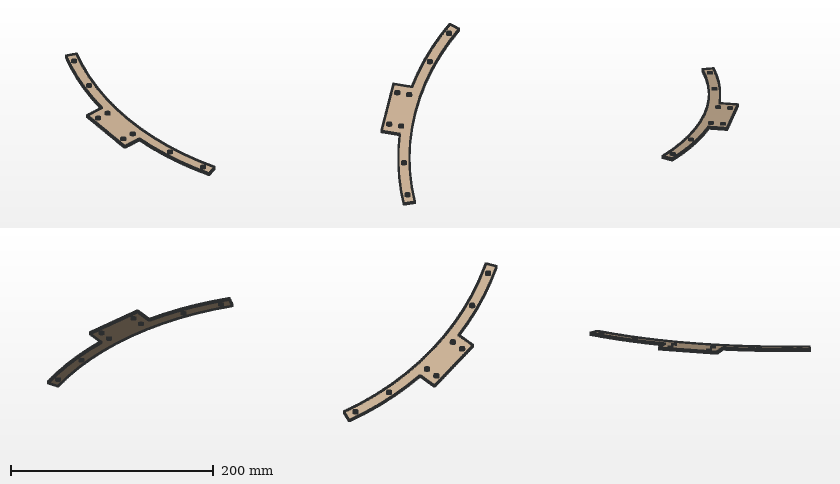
import cadquery as cq
import math

SWEEP = 45.0
LENGTH_X = 210.7
STRIP_WIDTH = 11.2
THICKNESS = 2.0
OUTER_RADIUS = LENGTH_X / math.sin(math.radians(SWEEP))
INNER_RADIUS = OUTER_RADIUS - STRIP_WIDTH
MID_RADIUS = OUTER_RADIUS - STRIP_WIDTH / 2

TAB_WIDTH = 59.8
TAB_END_RADIUS = 315.0

HOLE_DIAMETER = 4.0
END_HOLE_ANGLE = 1.95
INBOARD_HOLE_ANGLE = 9.8
TAB_HOLE_SPACING = 40.0
TAB_ROW_RADII = (297.0, 309.0)


def polar(radius, angle):
    """Point at a radius, with the angle measured from -Y towards +X."""
    turn = math.radians(angle)
    return (radius * math.sin(turn), -radius * math.cos(turn))


def make_strip():
    return (
        cq.Workplane("XY")
        .moveTo(*polar(INNER_RADIUS, 0))
        .threePointArc(polar(INNER_RADIUS, SWEEP / 2), polar(INNER_RADIUS, SWEEP))
        .lineTo(*polar(OUTER_RADIUS, SWEEP))
        .threePointArc(polar(OUTER_RADIUS, SWEEP / 2), polar(OUTER_RADIUS, 0))
        .close()
        .extrude(THICKNESS)
    )


def make_tab():
    tab_length = TAB_END_RADIUS - MID_RADIUS
    tab_center_y = -(TAB_END_RADIUS + MID_RADIUS) / 2
    return (
        cq.Workplane("XY")
        .center(0, tab_center_y)
        .rect(TAB_WIDTH, tab_length)
        .extrude(THICKNESS)
        .rotate((0, 0, 0), (0, 0, 1), SWEEP / 2)
    )


def make_strip_holes():
    angles = []
    for angle in (END_HOLE_ANGLE, INBOARD_HOLE_ANGLE):
        angles += [angle, SWEEP - angle]
    centers = [polar(MID_RADIUS, angle) for angle in angles]
    return cq.Workplane("XY").pushPoints(centers).circle(HOLE_DIAMETER / 2).extrude(THICKNESS)


def make_tab_holes():
    centers = [
        (side * TAB_HOLE_SPACING / 2, -radius)
        for radius in TAB_ROW_RADII
        for side in (-1, 1)
    ]
    return (
        cq.Workplane("XY")
        .pushPoints(centers)
        .circle(HOLE_DIAMETER / 2)
        .extrude(THICKNESS)
        .rotate((0, 0, 0), (0, 0, 1), SWEEP / 2)
    )


result = make_strip().union(make_tab()).cut(make_strip_holes()).cut(make_tab_holes())